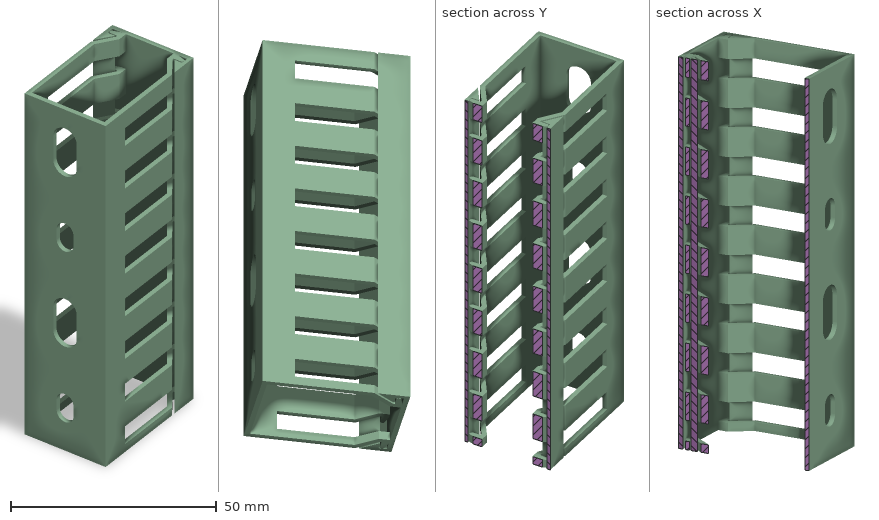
import cadquery as cq
import math

LENGTH = 100.0
WIDTH = 24.3
DEPTH = 36.5

WALL = 1.3
FLOOR = 1.3
NECK_INSET = 3.7
BEND_DROP = 8.9
NECK_DROP = 3.6
HOOK_BOTTOM_DROP = 3.1
HOOK_TIP_HEIGHT = 1.0
HOOK_TIP_GAP = 0.1
CORNER_BEVEL = 0.3

SLOT_HEIGHT = 5.2
SLOT_PITCH = 12.5
SLOT_COUNT = 8
FIRST_SLOT_BOTTOM = 2.3
SLOT_FLOOR_DISTANCE = 8.0

LONG_HOLE = (14.0, 7.0)
SHORT_HOLE = (8.2, 5.0)
HOLE_SPACING = 25.0

COVER_PANEL = 1.3
COVER_SIDE = 1.0
COVER_SIDE_DROP = 8.0
CATCH_DROP = 3.4

HALF_WIDTH = WIDTH / 2
TOP = DEPTH / 2
BOTTOM = -DEPTH / 2


def at(inset, drop):
    """Point of the left half section, from the outer side face and the cover's outer face."""
    return (-HALF_WIDTH + inset, TOP - drop)


def extrude_symmetric(left_half):
    """Extrude a left half section over the full length and mirror it across X = 0."""
    half = cq.Workplane("XY").polyline(left_half).close().extrude(LENGTH)
    return half.union(half.mirror("YZ"))


LEAN = math.atan2(NECK_INSET, BEND_DROP - NECK_DROP)
BEND_SHIFT = WALL * math.tan(LEAN / 2)


def trough_profile():
    hook_tip = COVER_SIDE + HOOK_TIP_GAP
    neck_inner = NECK_INSET + WALL
    floor_line = BOTTOM + FLOOR
    return [
        (0, BOTTOM),
        (-HALF_WIDTH, BOTTOM),
        at(0, BEND_DROP),
        at(NECK_INSET, NECK_DROP),
        at(NECK_INSET, HOOK_BOTTOM_DROP),
        at(hook_tip + CORNER_BEVEL, HOOK_BOTTOM_DROP),
        at(hook_tip, HOOK_BOTTOM_DROP - CORNER_BEVEL),
        at(hook_tip, HOOK_BOTTOM_DROP - HOOK_TIP_HEIGHT),
        at(NECK_INSET, COVER_PANEL),
        at(neck_inner, COVER_PANEL),
        at(neck_inner, NECK_DROP + BEND_SHIFT),
        at(WALL, BEND_DROP + BEND_SHIFT),
        (-HALF_WIDTH + WALL, floor_line),
        (0, floor_line),
    ]


def finger_slots():
    """Cutters that cross both side walls and run out through the hooked edge."""
    slot_depth = DEPTH - SLOT_FLOOR_DISTANCE
    slot = cq.Workplane("XY").box(WIDTH, slot_depth, SLOT_HEIGHT, centered=(True, False, False))
    cutters = cq.Workplane("XY")
    for i in range(SLOT_COUNT):
        bottom = FIRST_SLOT_BOTTOM + i * SLOT_PITCH
        cutters = cutters.add(slot.translate((0, BOTTOM + SLOT_FLOOR_DISTANCE, bottom)))
    return cutters.combine()


def floor_holes(size, first_height):
    """Pair of upright obround cutters through the floor."""
    length, width = size
    heights = [(0, first_height), (0, first_height + 2 * HOLE_SPACING)]
    sketch = cq.Workplane("XZ", origin=(0, BOTTOM, 0)).pushPoints(heights)
    return sketch.slot2D(length, width, 90).extrude(-FLOOR)


def make_trough():
    trough = extrude_symmetric(trough_profile())
    trough = trough.cut(finger_slots())
    trough = trough.cut(floor_holes(SHORT_HOLE, HOLE_SPACING / 2))
    return trough.cut(floor_holes(LONG_HOLE, HOLE_SPACING * 3 / 2))


def cover_profile():
    catch_tip = (COVER_SIDE_DROP - CATCH_DROP) * math.tan(LEAN)
    return [
        (0, TOP),
        (-HALF_WIDTH, TOP),
        at(0, COVER_SIDE_DROP),
        at(catch_tip, CATCH_DROP),
        at(COVER_SIDE + CORNER_BEVEL, CATCH_DROP),
        at(COVER_SIDE, CATCH_DROP - CORNER_BEVEL),
        at(COVER_SIDE, COVER_PANEL),
        (0, TOP - COVER_PANEL),
    ]


def make_cover():
    return extrude_symmetric(cover_profile())


trough = make_trough()
cover = make_cover()
result = cq.Compound.makeCompound([trough.val(), cover.val()])